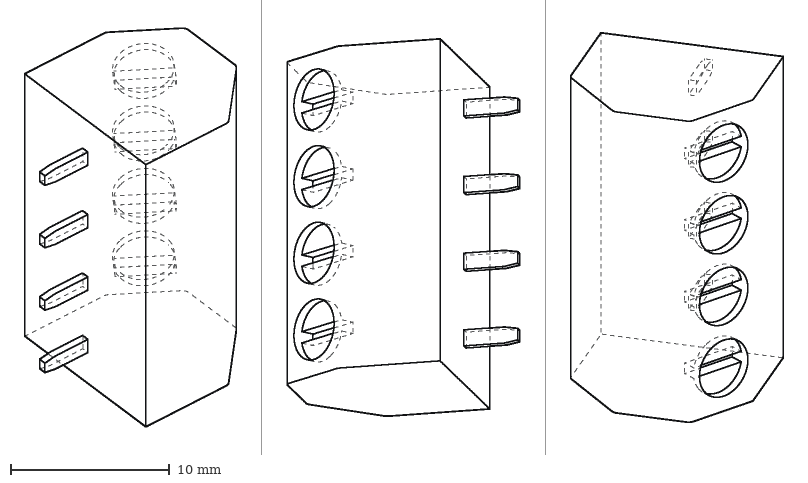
import cadquery as cq
import math

height = 21.0
width = 12.0
body_depth = 10.8
screw_bevel_x = 2.85
screw_bevel_y = 4.15
plain_bevel_x = 4.1
plain_bevel_y = 4.05
corner_radius = 0.5

pole_count = 4
pitch = 5.0
first_pole_z = (height - (pole_count - 1) * pitch) / 2
pole_heights = [first_pole_z + i * pitch for i in range(pole_count)]

screw_diameter = 3.9
recess_depth = 0.63
slot_width = 0.74
slot_depth = 0.92
screw_offset = 0.17

pin_length = 3.5
pin_thickness = 0.52
pin_width = 1.05
pin_tip_width = 0.75
pin_tip_length = 0.86


def make_housing():
    half = width / 2
    outline = [
        (-half, 0),
        (half, 0),
        (half, body_depth - plain_bevel_y),
        (half - plain_bevel_x, body_depth),
        (-half + screw_bevel_x, body_depth),
        (-half, body_depth - screw_bevel_y),
    ]
    body = cq.Workplane("XY").polyline(outline).close().extrude(height)
    return body.edges("|Z").edges("not <Y").fillet(corner_radius)


def make_screw_recess(z):
    """Round recess with a screwdriver slot across its floor."""
    bevel_length = math.hypot(screw_bevel_x, screw_bevel_y)
    along_x = screw_bevel_x / bevel_length
    along_y = screw_bevel_y / bevel_length
    center = (
        -width / 2 + screw_bevel_x / 2 - screw_offset * along_x,
        body_depth - screw_bevel_y / 2 - screw_offset * along_y,
        z,
    )
    plane = cq.Plane(origin=center, xDir=(along_x, along_y, 0), normal=(along_y, -along_x, 0))
    total_depth = recess_depth + slot_depth
    recess = cq.Workplane(plane).circle(screw_diameter / 2).extrude(recess_depth)
    slot = (
        cq.Workplane(plane)
        .rect(screw_diameter, slot_width)
        .extrude(total_depth)
        .intersect(cq.Workplane(plane).circle(screw_diameter / 2).extrude(total_depth))
    )
    return recess.union(slot)


def make_pin(z):
    """Flat pin whose free end narrows in Z."""
    shoulder_y = -(pin_length - pin_tip_length)
    outline = [
        (0, z - pin_width / 2),
        (shoulder_y, z - pin_width / 2),
        (-pin_length, z - pin_tip_width / 2),
        (-pin_length, z + pin_tip_width / 2),
        (shoulder_y, z + pin_width / 2),
        (0, z + pin_width / 2),
    ]
    return cq.Workplane("YZ").polyline(outline).close().extrude(pin_thickness / 2, both=True)


result = make_housing()
for pole_z in pole_heights:
    result = result.cut(make_screw_recess(pole_z))
    result = result.union(make_pin(pole_z))